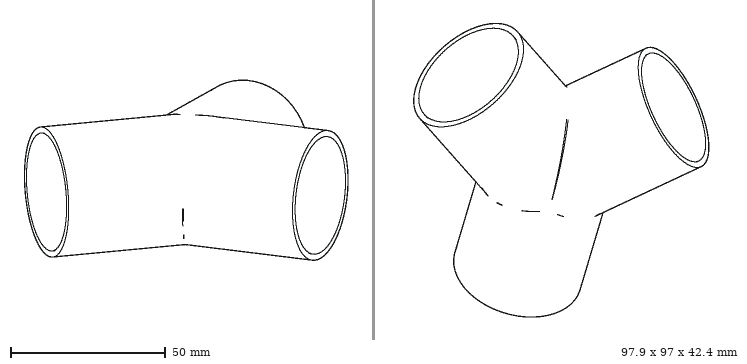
import cadquery as cq
import math

overall_width = 97.9
outer_diameter = 42.4
bore_diameter = 38.4
branch_angle = 45.0
crotch_radius = 2.3
seam_radius = 0.4

tilt = math.radians(branch_angle)
leg_length = (overall_width / 2 - outer_diameter / 2 * math.cos(tilt)) / math.sin(tilt)

junction = cq.Vector(0, 0, 0)
stem_axis = cq.Vector(0, -1, 0)
right_branch_axis = cq.Vector(math.sin(tilt), math.cos(tilt), 0)
left_branch_axis = cq.Vector(-math.sin(tilt), math.cos(tilt), 0)


def solid_y(diameter):
    """Y shape made of three solid cylinders that start at the junction."""
    body = cq.Workplane("XY")
    for axis in (stem_axis, right_branch_axis, left_branch_axis):
        leg = cq.Solid.makeCylinder(diameter / 2, leg_length, junction, axis)
        body = body.union(cq.Workplane(leg))
    return body


def outer_body():
    """Outside of the pipes; the elliptical edges are the seams between legs."""
    return solid_y(outer_diameter).edges("%ELLIPSE").fillet(seam_radius)


def bore_body():
    """Inside of the pipes; of its seams, the one between the branches lies furthest along +Y."""
    return solid_y(bore_diameter).edges("%ELLIPSE").edges(">Y").fillet(crotch_radius)


result = outer_body().cut(bore_body())